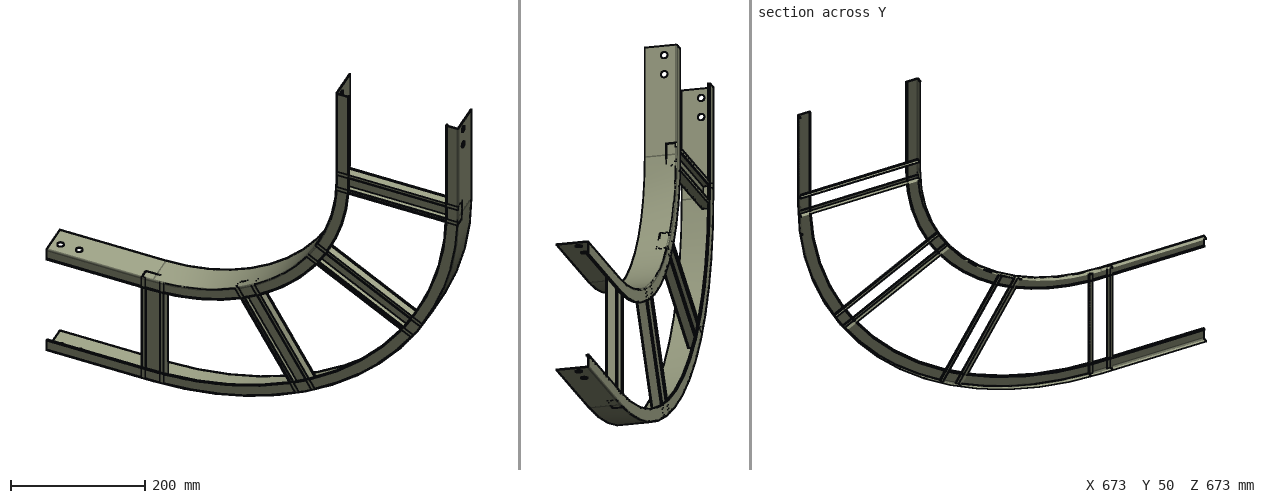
import cadquery as cq
import math

overall_size = 673.0
rail_height = 50.0
rail_width = 20.0
sheet = 1.5
corner_radius = 2.0
rail_lip = 3.5
tray_width = 200.0

outer_radius = 500.0
inner_radius = outer_radius - tray_width
straight = overall_size - outer_radius
bend_angle = 90

rung_count = 4
rung_width = 37.0
rung_depth = 16.0
rung_lip = 7.0
rung_end_embed = 0.6

hole_diameter = 10.0
hole_end_distances = (15.0, 45.0)
hole_height = 19.5

center_x = straight
center_z = outer_radius
bend_center = (center_x, 0, center_z)

bend_start = cq.Plane(origin=bend_center, xDir=(0, 0, -1), normal=(1, 0, 0))
bend_end = cq.Plane(origin=bend_center, xDir=(1, 0, 0), normal=(0, 0, 1))


def rail_profile(plane, web_radius, side):
    """Rail section; side is +1 when the flange points away from the bend centre, -1 when towards it."""
    inside_radius = corner_radius - sheet
    corner_center = web_radius + side * corner_radius
    tip = web_radius + side * rail_width
    diagonal = math.sqrt(0.5)

    def corner_mid(radius):
        return (corner_center - side * radius * diagonal, corner_radius - radius * diagonal)

    return (
        cq.Workplane(plane)
        .moveTo(web_radius, rail_height)
        .lineTo(web_radius, corner_radius)
        .threePointArc(corner_mid(corner_radius), (corner_center, 0))
        .lineTo(tip, 0)
        .lineTo(tip, rail_lip)
        .lineTo(tip - side * sheet, rail_lip)
        .lineTo(tip - side * sheet, sheet)
        .lineTo(corner_center, sheet)
        .threePointArc(corner_mid(inside_radius), (web_radius + side * sheet, corner_radius))
        .lineTo(web_radius + side * sheet, rail_height)
        .close()
    )


def rail(web_radius, side):
    """One rail: lower straight, quarter bend and upper straight."""
    lower = rail_profile(bend_start, web_radius, side).extrude(-straight)
    bend = rail_profile(bend_start, web_radius, side).revolve(bend_angle, (0, 0), (0, -1))
    upper = rail_profile(bend_end, web_radius, side).extrude(straight)
    return lower.union(bend).union(upper)


def rung(angle):
    """Lipped channel, open to the front, resting on the flanges; angle 0 points along -Z."""
    start = inner_radius + sheet - rung_end_embed
    length = tray_width - 2 * (sheet - rung_end_embed)
    cavity_width = rung_width - 2 * sheet
    opening_width = rung_width - 2 * rung_lip

    def bar(width, front, depth):
        return cq.Workplane("XY").box(width, depth, length, centered=(True, False, False)).translate(
            (center_x, sheet + front, center_z - start - length)
        )

    channel = (
        bar(rung_width, 0, rung_depth)
        .cut(bar(cavity_width, sheet, rung_depth - 2 * sheet))
        .cut(bar(opening_width, 0, sheet))
    )
    return channel.rotate(bend_center, (center_x, -1, center_z), angle)


def hole_drills():
    """Drills along Z and X that pass through both rail webs at each end of the tray."""
    drills = cq.Workplane("XY")
    for distance in hole_end_distances:
        lower_end = cq.Workplane("XY").center(distance, hole_height)
        upper_end = cq.Workplane("YZ").center(hole_height, overall_size - distance)
        for position in (lower_end, upper_end):
            drills = drills.union(position.circle(hole_diameter / 2).extrude(overall_size))
    return drills


tray = rail(inner_radius, 1).union(rail(outer_radius, -1))
for index in range(rung_count):
    tray = tray.union(rung(bend_angle * index / (rung_count - 1)))

result = tray.cut(hole_drills())